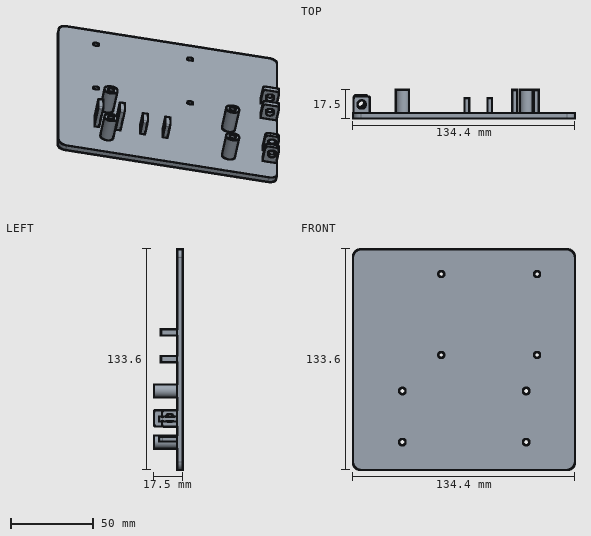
import cadquery as cq

plate_width = 134.4
plate_height = 133.6
plate_thickness = 3.5
plate_corner_radius = 5.0

mount_hole_diameter = 3.5
mount_hole_xs = (-13.7, 44.2)
mount_hole_zs = (2.8, 51.8)

post_diameter = 8.0
post_bore_diameter = 3.8
post_height = 14.0
post_xs = (-37.2, 37.6)
post_zs = (-49.9, -19.0)

lug_width = 10.0
lug_thickness = 3.0
lug_hole_diameter = 5.0

upper_lug_height = 10.0
upper_lug_thickness = 3.9
upper_lug_radius = 1.2
upper_lug_hole_height = 5.0
upper_lug_x = -61.8
upper_lug_zs = (0.3, 16.5)

lower_lug_width = 8.6
lower_lug_height = 10.9
lower_lug_radius = 2.0
lower_lug_hole_height = 6.0
lower_lug_hole_shift = -0.5
lower_lug_x = -62.4
lower_lug_zs = (-48.1, -35.9)

upright_lug_radius = 1.1
upright_lug_hole_height = 4.5
upright_lug_hole_shift = -0.3
short_lug_height = 9.0
short_lug_xs = (1.7, 15.6)
short_lug_z = -35.6
tall_lug_height = post_height
tall_lug_xs = (30.7, 43.8)
tall_lug_z = -35.5


def cylinder_along_y(x, z, diameter, start, length):
    """Cylinder along +Y that starts at Y = start."""
    plane = cq.Plane(origin=(x, start, z), xDir=(1, 0, 0), normal=(0, 1, 0))
    return cq.Workplane(plane).circle(diameter / 2).extrude(length)


def make_plate():
    """Flat plate with four rounded corners."""
    return (
        cq.Workplane("XY")
        .box(plate_width, plate_thickness, plate_height, centered=(True, False, True))
        .edges("|Y")
        .fillet(plate_corner_radius)
    )


def make_lug(width, height, thickness, corner_radius, hole_height, hole_shift=0.0):
    """Level lug centred on X = 0 and Z = 0, rooted on the back of the plate."""
    blank = (
        cq.Workplane("XY")
        .box(width, height, thickness, centered=(True, False, True))
        .edges("|Z and >Y")
        .fillet(corner_radius)
    )
    hole = (
        cq.Workplane("XY", origin=(hole_shift, hole_height, -thickness / 2))
        .circle(lug_hole_diameter / 2)
        .extrude(thickness)
    )
    return blank.cut(hole).translate((0, plate_thickness, 0))


def make_upright_lug(height):
    """Lug turned about Y so that its hole runs along X."""
    lug = make_lug(
        lug_width,
        height,
        lug_thickness,
        upright_lug_radius,
        upright_lug_hole_height,
        upright_lug_hole_shift,
    )
    return lug.rotate((0, 0, 0), (0, 1, 0), 90)


result = make_plate()

upper_lug = make_lug(
    lug_width, upper_lug_height, upper_lug_thickness, upper_lug_radius, upper_lug_hole_height
)
for z in upper_lug_zs:
    result = result.union(upper_lug.translate((upper_lug_x, 0, z)))

lower_lug = make_lug(
    lower_lug_width,
    lower_lug_height,
    lug_thickness,
    lower_lug_radius,
    lower_lug_hole_height,
    lower_lug_hole_shift,
)
for z in lower_lug_zs:
    result = result.union(lower_lug.translate((lower_lug_x, 0, z)))

short_lug = make_upright_lug(short_lug_height)
for x in short_lug_xs:
    result = result.union(short_lug.translate((x, 0, short_lug_z)))

tall_lug = make_upright_lug(tall_lug_height)
for x in tall_lug_xs:
    result = result.union(tall_lug.translate((x, 0, tall_lug_z)))

bore_depth = plate_thickness + post_height
for x in post_xs:
    for z in post_zs:
        post = cylinder_along_y(x, z, post_diameter, plate_thickness, post_height)
        bore = cylinder_along_y(x, z, post_bore_diameter, 0, bore_depth)
        result = result.union(post).cut(bore)

for x in mount_hole_xs:
    for z in mount_hole_zs:
        result = result.cut(cylinder_along_y(x, z, mount_hole_diameter, 0, plate_thickness))